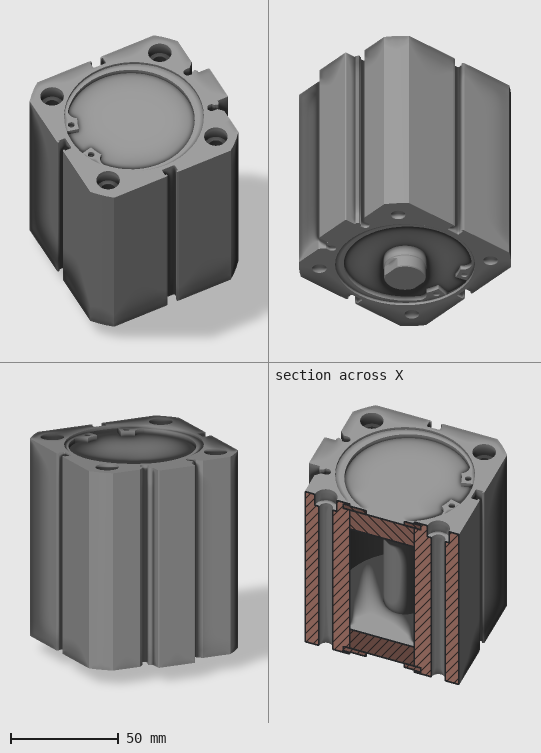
import cadquery as cq
import math

WIDTH = 77.5
HALF = WIDTH / 2
HEIGHT = 95.3
CORNER_CUT = 8.2
CORNER_RADIUS = math.hypot(HALF, HALF - CORNER_CUT)

HOLE_PITCH = 56.3
HOLE_DIAMETER = 6.8
COUNTERBORE_DIAMETER = 10.9
COUNTERBORE_DEPTH = 6.9

SLOT_DEPTH = 4.4
SLOT_HALF = 3.3
SLOT_MOUTH_HALF = 2.5
SLOT_LIP = 1.0
SLOT_LIP_BEVEL = 0.2
SLOT_CORNER = 0.4

RAIL_TOP = 44.3
RAIL_HALF = 9.6
RAIL_EDGE_RADIUS = 0.5
WEB_TOP = 35.5
FLARE_ROOT_HALF = 11.2
FLARE_BOTTOM = 36.3
FLARE_WIDENING = 36.9
FLARE_HALF = 11.6
FLARE_SIDE_BOTTOM = 37.5
FLARE_SIDE_TOP = 38.0
FLARE_TOP_HALF = 10.5
GROOVE_X = 11.9
GROOVE_Y = 34.3
GROOVE_RADIUS = 2.0
SHOULDER_X = 16.4
SHOULDER_DROP = 2.4

BORE_RADIUS = 32.4
RING_END_DEPTH = 1.3
RING_THICKNESS = 2.4
COVER_THICKNESS = 12.4
RING_GROOVE_WALL = 0.2
RING_RADIUS = HALF - SLOT_DEPTH - RING_GROOVE_WALL
RING_INNER_RADIUS = 29.7
RING_INNER_SHIFT = 1.6
EAR_RADIUS = 26.4
EAR_GAP_ANGLE = 13.5
EAR_SIDE_ANGLE = 27.6
EAR_ROOT_ANGLE = 37.2
EAR_FILLET_ANGLE = 30.5
EAR_FILLET_POINT_RADIUS = 29.6
EAR_HOLE_RADIUS = 1.5
EAR_HOLE_X = 10.0
EAR_HOLE_Y = -27.6

ROD_RADIUS = 10.0
ROD_END_RADIUS = 9.7
ROD_STICKOUT = 7.7
ROD_STEP = 1.6
ROD_CHAMFER = 0.4
FLAT_HALF = 8.5
FLAT_TOP = 2.8

COVER_DEPTH = RING_END_DEPTH + RING_THICKNESS


def at_angle(radius, angle):
    """Point at an angle from -Y, positive toward +X."""
    turn = math.radians(angle)
    return (radius * math.sin(turn), -radius * math.cos(turn))


def mirrored(points):
    """The same points on the -X side, in reverse order."""
    return [(-x, y) for x, y in reversed(points)]


def cylinder(radius, bottom, top):
    return cq.Workplane("XY").workplane(offset=bottom).circle(radius).extrude(top - bottom)


def body_blank():
    square = cq.Workplane("XY").rect(WIDTH, WIDTH).extrude(HEIGHT)
    return square.intersect(cylinder(CORNER_RADIUS, 0, HEIGHT))


def slot_cutter(turn):
    """T-slot in the -Y side, turned about Z."""
    floor = SLOT_DEPTH - HALF
    lip = SLOT_LIP - HALF
    half_outline = [
        (SLOT_HALF, -HALF),
        (SLOT_MOUTH_HALF, SLOT_LIP_BEVEL - HALF),
        (SLOT_MOUTH_HALF, lip),
        (SLOT_HALF, lip),
        (SLOT_HALF, floor - SLOT_CORNER),
        (SLOT_HALF - SLOT_CORNER, floor),
    ]
    outline = cq.Workplane("XY").polyline(half_outline + mirrored(half_outline)).close()
    return outline.extrude(HEIGHT).rotate((0, 0, 0), (0, 0, 1), turn)


def rail():
    """Plain rail bar; the relief grooves shape its foot."""
    height = RAIL_TOP - GROOVE_Y
    bar = cq.Workplane("XY").box(2 * RAIL_HALF, height, HEIGHT, centered=(True, False, False))
    bar = bar.translate((0, GROOVE_Y, 0))
    return bar.edges(">Y and |Z").fillet(RAIL_EDGE_RADIUS)


def relief_groove():
    """Groove beside the rail on the +X side, under the flared foot of the rail."""
    inner_x = GROOVE_X - GROOVE_RADIUS
    outer_x = GROOVE_X + GROOVE_RADIUS
    profile = (
        cq.Workplane("XY")
        .moveTo(SHOULDER_X, HALF)
        .lineTo(outer_x, HALF - SHOULDER_DROP)
        .lineTo(outer_x, GROOVE_Y)
        .threePointArc((GROOVE_X, GROOVE_Y - GROOVE_RADIUS), (inner_x, GROOVE_Y))
        .lineTo(inner_x, WEB_TOP)
        .lineTo(FLARE_ROOT_HALF, FLARE_BOTTOM)
        .lineTo(FLARE_ROOT_HALF, FLARE_WIDENING)
        .lineTo(FLARE_HALF, FLARE_SIDE_BOTTOM)
        .lineTo(FLARE_HALF, FLARE_SIDE_TOP)
        .lineTo(FLARE_TOP_HALF, HALF)
        .close()
    )
    return profile.extrude(HEIGHT)


def mounting_holes():
    places = cq.Workplane("XY").rect(HOLE_PITCH, HOLE_PITCH, forConstruction=True).vertices()
    holes = places.circle(HOLE_DIAMETER / 2).extrude(HEIGHT)
    places = cq.Workplane("XY").workplane(offset=HEIGHT - COUNTERBORE_DEPTH)
    places = places.rect(HOLE_PITCH, HOLE_PITCH, forConstruction=True).vertices()
    return holes.union(places.circle(COUNTERBORE_DIAMETER / 2).extrude(COUNTERBORE_DEPTH))


def make_housing():
    body = body_blank().union(rail())
    for turn in (0, 90, -90):
        body = body.cut(slot_cutter(turn))
    groove = relief_groove()
    body = body.cut(groove).cut(groove.mirror("YZ"))
    body = body.cut(mounting_holes())
    body = body.cut(cylinder(BORE_RADIUS, 0, HEIGHT))
    for bottom in (RING_END_DEPTH, HEIGHT - COVER_DEPTH):
        body = body.cut(cylinder(RING_RADIUS, bottom, bottom + RING_THICKNESS))
    return body


def make_ring(bottom):
    """Retaining ring, thickest at +Y, with two pierced ears beside the gap at -Y."""
    gap_outer = at_angle(RING_RADIUS, EAR_GAP_ANGLE)
    gap_inner = at_angle(EAR_RADIUS, EAR_GAP_ANGLE)
    ear_mid = at_angle(EAR_RADIUS, (EAR_GAP_ANGLE + EAR_SIDE_ANGLE) / 2)
    ear_corner = at_angle(EAR_RADIUS, EAR_SIDE_ANGLE)
    fillet_mid = at_angle(EAR_FILLET_POINT_RADIUS, EAR_FILLET_ANGLE)
    root_x, root_y = at_angle(RING_INNER_RADIUS, EAR_ROOT_ANGLE)
    root = (root_x, root_y - RING_INNER_SHIFT)

    def left(point):
        return (-point[0], point[1])

    outline = (
        cq.Workplane("XY")
        .moveTo(*gap_outer)
        .threePointArc((0, RING_RADIUS), left(gap_outer))
        .lineTo(*left(gap_inner))
        .threePointArc(left(ear_mid), left(ear_corner))
        .threePointArc(left(fillet_mid), left(root))
        .threePointArc((0, RING_INNER_RADIUS - RING_INNER_SHIFT), root)
        .threePointArc(fillet_mid, ear_corner)
        .threePointArc(ear_mid, gap_inner)
        .close()
    )
    ring = outline.extrude(RING_THICKNESS)
    ears = [(EAR_HOLE_X, EAR_HOLE_Y), (-EAR_HOLE_X, EAR_HOLE_Y)]
    holes = cq.Workplane("XY").pushPoints(ears).circle(EAR_HOLE_RADIUS).extrude(RING_THICKNESS)
    return ring.cut(holes).translate((0, 0, bottom))


def make_head_cover():
    top = HEIGHT - COVER_DEPTH
    return cylinder(BORE_RADIUS, top - COVER_THICKNESS, top)


def make_rod_cover():
    top = COVER_DEPTH + COVER_THICKNESS
    return cylinder(BORE_RADIUS, COVER_DEPTH, top).cut(cylinder(ROD_RADIUS, COVER_DEPTH, top))


def wrench_flat_cutter():
    """Cut on the -Y side of the rod end, running out upward at 45 degrees."""
    depth = ROD_RADIUS - FLAT_HALF
    profile = [
        (-FLAT_HALF, -ROD_STICKOUT),
        (-FLAT_HALF, -FLAT_TOP),
        (-FLAT_HALF - depth, depth - FLAT_TOP),
        (-FLAT_HALF - depth, -ROD_STICKOUT),
    ]
    return cq.Workplane("YZ").polyline(profile).close().extrude(ROD_RADIUS, both=True)


def make_rod():
    """Rod from its end outside the housing up to the head cover."""
    rod_end = cylinder(ROD_END_RADIUS, -ROD_STICKOUT, -ROD_STEP).faces("<Z").chamfer(ROD_CHAMFER)
    shaft = cylinder(ROD_RADIUS, -ROD_STEP, HEIGHT - COVER_DEPTH - COVER_THICKNESS)
    shaft = shaft.faces("<Z").chamfer(ROD_RADIUS - ROD_END_RADIUS)
    flat = wrench_flat_cutter()
    rod_end = rod_end.cut(flat).cut(flat.mirror("XZ"))
    return shaft.union(rod_end)


housing = make_housing()
head_cover = make_head_cover()
rod_cover = make_rod_cover()
rod = make_rod()
rings = [make_ring(bottom) for bottom in (RING_END_DEPTH, HEIGHT - COVER_DEPTH)]

result = cq.Compound.makeCompound(
    [housing.val(), head_cover.val(), rod_cover.val(), rod.val(), *[ring.val() for ring in rings]]
)